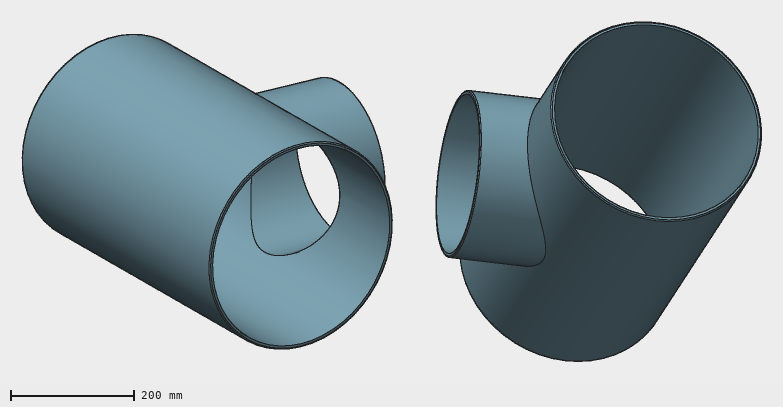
import cadquery as cq

run_length = 559.0
run_diameter = 355.5
branch_diameter = 273.0
branch_reach = 257.0
run_wall = 6.0
branch_wall = 6.0
bevel_land = 4.0
bevel_length = 1.5


def bevelled_rod(diameter, wall, start, length, both_ends):
    """Rod along +Z with its open ends bevelled down to a narrow rim."""
    rod = cq.Workplane("XY").workplane(offset=start).circle(diameter / 2).extrude(length)
    ends = "|Z" if both_ends else ">Z"
    return rod.faces(ends).edges().chamfer(bevel_length, wall - bevel_land)


def along_x(body):
    return body.rotate((0, 0, 0), (0, 1, 0), 90)


def along_y(body):
    return body.rotate((0, 0, 0), (1, 0, 0), -90)


def bore(diameter, wall, start, length):
    return cq.Workplane("XY").workplane(offset=start).circle(diameter / 2 - wall).extrude(length)


run = along_x(bevelled_rod(run_diameter, run_wall, -run_length / 2, run_length, True))
branch = along_y(bevelled_rod(branch_diameter, branch_wall, 0, branch_reach, False))

run_bore = along_x(bore(run_diameter, run_wall, -run_length / 2, run_length))
branch_bore = along_y(bore(branch_diameter, branch_wall, 0, branch_reach))

result = run.union(branch).cut(run_bore).cut(branch_bore)